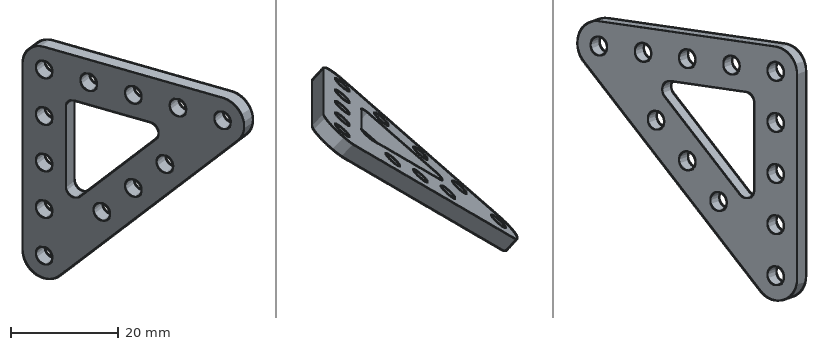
import cadquery as cq

thickness = 3.175
edge_radius = 4.76
hole_diameter = 3.6
hole_pitch = 9.78
leg_hole_count = 5
diagonal_hole_count = 3
window_inset = 4.76
window_corner_radius = 1.8

leg_length = hole_pitch * (leg_hole_count - 1)


def hole_line_triangle():
    """Triangle joining the three corner hole centres."""
    return (
        cq.Workplane("XZ")
        .moveTo(0, 0)
        .lineTo(leg_length, 0)
        .lineTo(0, -leg_length)
        .close()
    )


def leg_hole_centres():
    top_leg = [(i * hole_pitch, 0) for i in range(leg_hole_count)]
    side_leg = [(0, -i * hole_pitch) for i in range(1, leg_hole_count)]
    return top_leg + side_leg


def diagonal_hole_centres():
    """Holes at the same pitch, spread evenly about the middle of the hypotenuse."""
    middle = leg_length / 2
    step = hole_pitch / 2**0.5
    first_index = -(diagonal_hole_count - 1) / 2
    offsets = [(first_index + i) * step for i in range(diagonal_hole_count)]
    return [(middle + offset, -middle + offset) for offset in offsets]


def extrude_through(profile):
    """Extrude a profile to the plate thickness, symmetric about the XZ plane."""
    return profile.extrude(thickness / 2, both=True)


def make_plate():
    return extrude_through(hole_line_triangle().offset2D(edge_radius, "arc"))


def make_window():
    corner_centres = hole_line_triangle().offset2D(-(window_inset + window_corner_radius))
    return extrude_through(corner_centres.offset2D(window_corner_radius, "arc"))


def make_holes():
    centres = leg_hole_centres() + diagonal_hole_centres()
    return extrude_through(cq.Workplane("XZ").pushPoints(centres).circle(hole_diameter / 2))


result = make_plate().cut(make_window()).cut(make_holes())